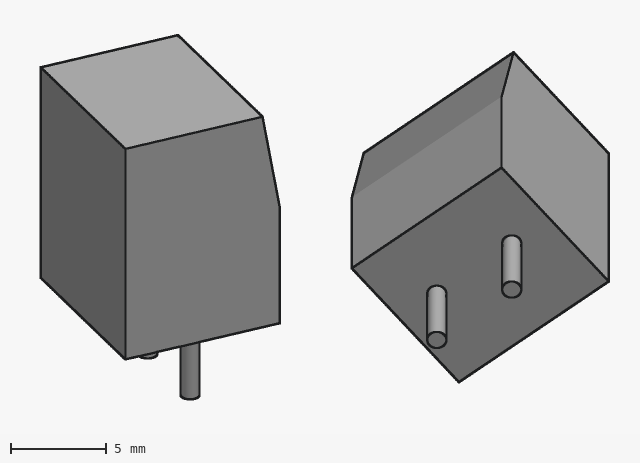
import cadquery as cq

width = 10.0
depth = 9.0
total_height = 17.0

body_height = 12.5
slope_depth = 1.0
slope_height = 5.61

pin_diameter = 1.0
pin_pitch = 5.0
pin_from_front = 5.0
pin_length = total_height - body_height


def make_body():
    """Block standing on z = 0, front face on y = 0, centred on x = 0."""
    side_profile = [
        (0, 0),
        (depth, 0),
        (depth, body_height - slope_height),
        (depth - slope_depth, body_height),
        (0, body_height),
    ]
    return cq.Workplane("YZ").polyline(side_profile).close().extrude(width / 2, both=True)


def make_pins():
    """Two round pins hanging down from the underside of the block."""
    pin_centres = [(side * pin_pitch / 2, pin_from_front) for side in (-1, 1)]
    return cq.Workplane("XY").pushPoints(pin_centres).circle(pin_diameter / 2).extrude(-pin_length)


result = make_body().union(make_pins())